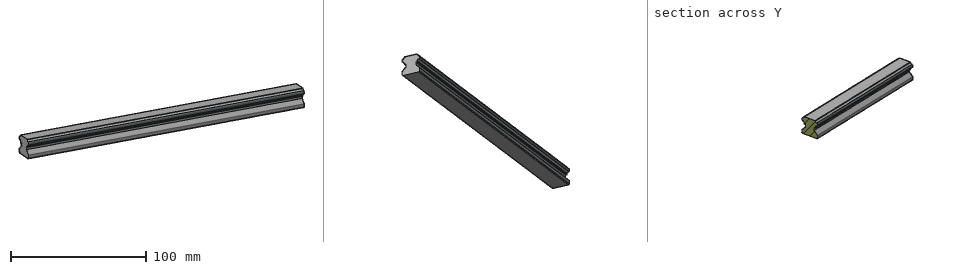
import cadquery as cq
import math

length = 230.0
width = 15.0
height = 15.0

head_slope = 2.3
head_land = 1.2
land_corner_radius = 0.7

raceway_width = 1.8
raceway_radius = 1.8
raceway_inset = 0.35

lip_height = 0.7
relief_depth = 1.0
relief_height = 2.0

foot_chamfer = 0.7
foot_corner_radius = 0.2

selection_margin = 0.02

half_width = width / 2
lip_half = half_width - head_slope
neck_half = lip_half - relief_depth

land_top_z = height - head_slope
land_bottom_z = land_top_z - head_land
lip_top_z = land_bottom_z - head_slope
relief_top_z = lip_top_z - lip_height
relief_bottom_z = relief_top_z - relief_height
foot_side_top = relief_bottom_z - (half_width - neck_half)


def half_profile():
    """Points (x, z) of the right-hand side, from the bottom up to the top."""
    return [
        (half_width - foot_chamfer, 0),
        (half_width, foot_chamfer),
        (half_width, foot_side_top),
        (neck_half, relief_bottom_z),
        (neck_half, relief_top_z),
        (lip_half, relief_top_z),
        (lip_half, lip_top_z),
        (half_width, land_bottom_z),
        (half_width, land_top_z),
        (lip_half, height),
    ]


def side_edges(body, z):
    """The two long outer edges of the body at height z."""
    thin_slice = cq.selectors.BoxSelector(
        (-width, -length, z - selection_margin),
        (width, length, z + selection_margin),
    )
    return body.edges("|Y").edges(thin_slice)


def rail():
    """Symmetric cross-section run along Y, centred on the origin in Y."""
    right_side = half_profile()
    left_side = [(-x, z) for x, z in reversed(right_side)]
    section = cq.Workplane("XZ").polyline(right_side + left_side).close()
    body = section.extrude(length / 2, both=True)
    for z in (land_top_z, land_bottom_z):
        body = side_edges(body, z).fillet(land_corner_radius)
    return side_edges(body, foot_side_top).fillet(foot_corner_radius)


def raceways():
    """Four round bars that cut the raceways into the head faces."""
    centre_to_face = math.sqrt(raceway_radius**2 - (raceway_width / 2) ** 2)
    along_face = raceway_inset + raceway_width / 2
    bar_x = lip_half + (along_face + centre_to_face) * math.sqrt(0.5)
    bar_offset_z = (centre_to_face - along_face) * math.sqrt(0.5)
    centres = [
        (side * bar_x, z)
        for side in (-1, 1)
        for z in (height + bar_offset_z, lip_top_z - bar_offset_z)
    ]
    bars = cq.Workplane("XZ").pushPoints(centres).circle(raceway_radius)
    return bars.extrude(length / 2, both=True)


result = rail().cut(raceways())